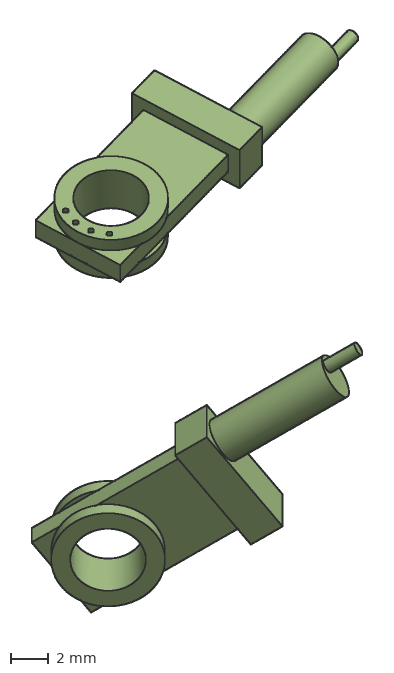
import cadquery as cq

total_length = 21.0
height = 2.98

ring_diameter = 6.0
bore_diameter = 4.0

plate_width = 5.5
plate_thickness = 1.32

block_width = 7.0
block_length = 2.04

cylinder_diameter = 2.52
cylinder_length = 7.23
cylinder_offset = 2.0
rod_diameter = 0.75
rod_length = 2.0
rod_offset = 2.75

pin_hole_count = 4
pin_hole_diameter = 0.32
pin_hole_depth = 0.32
pin_hole_spacing_angle = 22.5
pin_circle_radius = 2.56

front_y = -ring_diameter / 2
rod_end_y = front_y + total_length
cylinder_end_y = rod_end_y - rod_length
block_back_y = cylinder_end_y - cylinder_length
block_front_y = block_back_y - block_length


def box_along_y(width, thickness, start_y, end_y):
    """Box centred on X and Z between two Y stations."""
    return (
        cq.Workplane("XY")
        .box(width, end_y - start_y, thickness, centered=(True, False, True))
        .translate((0, start_y, 0))
    )


def cylinder_along_y(diameter, x, start_y, end_y):
    """Cylinder parallel to Y at mid height."""
    return (
        cq.Workplane("XZ", origin=(x, start_y, 0))
        .circle(diameter / 2)
        .extrude(start_y - end_y)
    )


def ring_flange(bottom_z, top_z):
    """Part of the ring standing proud of one plate face."""
    return (
        cq.Workplane("XY", origin=(0, 0, bottom_z))
        .circle(ring_diameter / 2)
        .extrude(top_z - bottom_z)
    )


def bore():
    return (
        cq.Workplane("XY", origin=(0, 0, -height / 2))
        .circle(bore_diameter / 2)
        .extrude(height)
    )


def pin_holes():
    """Row of holes centred on the -Y side of the ring."""
    span_angle = (pin_hole_count - 1) * pin_hole_spacing_angle
    first_angle = -90 - span_angle / 2
    return (
        cq.Workplane("XY", origin=(0, 0, height / 2))
        .polarArray(pin_circle_radius, first_angle, span_angle, pin_hole_count)
        .circle(pin_hole_diameter / 2)
        .extrude(-pin_hole_depth)
    )


plate = box_along_y(plate_width, plate_thickness, front_y, block_front_y)
block = box_along_y(block_width, height, block_front_y, block_back_y)
cylinder = cylinder_along_y(cylinder_diameter, cylinder_offset, block_back_y, cylinder_end_y)
rod = cylinder_along_y(rod_diameter, rod_offset, cylinder_end_y, rod_end_y)

upper_flange = ring_flange(plate_thickness / 2, height / 2)
lower_flange = ring_flange(-height / 2, -plate_thickness / 2)

body = plate.union(block).union(cylinder).union(rod)
body = body.union(upper_flange).union(lower_flange)
result = body.cut(bore()).cut(pin_holes())